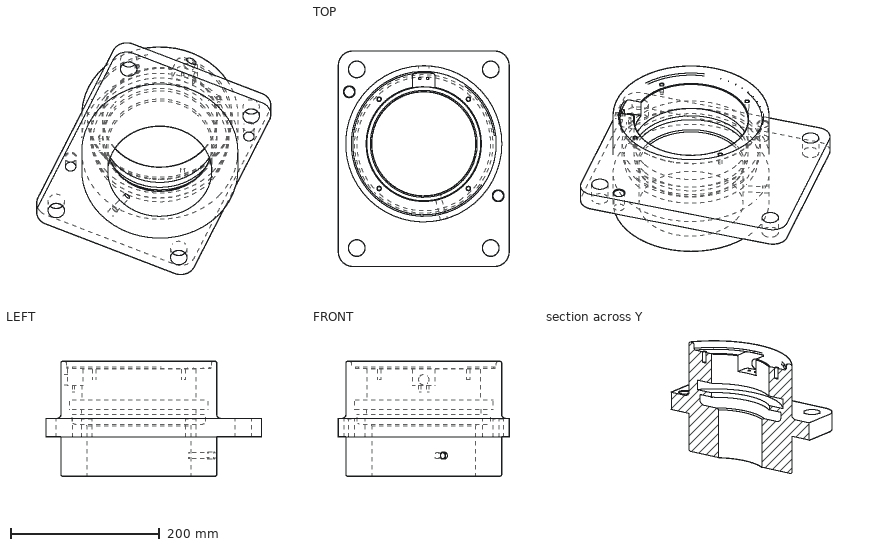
import cadquery as cq
import math

PLATE_LENGTH = 290.0
PLATE_WIDTH = 230.0
PLATE_THICKNESS = 25.0
PLATE_CORNER_RADIUS = 20.0
PLATE_OFFSET_Y = -20.0

BARREL_HEIGHT = 155.0
BARREL_RADIUS = 105.0
BARREL_EDGE_FILLET = 3.0
PLATE_BOTTOM_Z = 53.0
PLATE_TOP_Z = PLATE_BOTTOM_Z + PLATE_THICKNESS
ROOT_FILLET = 5.0

RECESS_RADIUS = 97.5
RECESS_DEPTH = 10.0
RECESS_MOUTH_FILLET = 3.0
RECESS_FILLET = 2.0
RECESS_FLOOR_Z = BARREL_HEIGHT - RECESS_DEPTH

UPPER_BORE_RADIUS = 76.5
UPPER_BORE_LENGTH = 42.3
UPPER_BORE_CHAMFER = 1.0
GROOVE_RADIUS = 93.0
GROOVE_HEIGHT = 12.8
COLLAR_RADIUS = 76.8
COLLAR_HEIGHT = 6.7
CHAMBER_RADIUS = 90.0
CHAMBER_HEIGHT = 13.3
CHAMBER_FILLET = 5.0
LOWER_BORE_RADIUS = 70.0
LOWER_BORE_CHAMFER = 2.0
UPPER_BORE_END_Z = RECESS_FLOOR_Z - UPPER_BORE_LENGTH
COLLAR_TOP_Z = UPPER_BORE_END_Z - GROOVE_HEIGHT
COLLAR_BOTTOM_Z = COLLAR_TOP_Z - COLLAR_HEIGHT
CHAMBER_FLOOR_Z = COLLAR_BOTTOM_Z - CHAMBER_HEIGHT

BOLT_SPACING_X = 180.0
BOLT_SPACING_Y = 240.0
BOLT_DIAMETER = 22.0
DOWEL_X = 100.0
DOWEL_Y = 70.0
DOWEL_DIAMETER = 14.0
DOWEL_CHAMFER = 1.0

SCREW_SPACING = 120.0
SCREW_DIAMETER = 5.0
SCREW_CHAMFER = 0.5
SCREW_DEPTH = 15.0

POCKET_WIDTH = 30.2
POCKET_OUTER_Y = 95.7
POCKET_DEPTH = 23.2
POCKET_CORNER_RADIUS = 5.0
POCKET_FLOOR_Z = RECESS_FLOOR_Z - POCKET_DEPTH
PIN_SPACING = 10.5
PIN_Y = 88.0
PIN_DIAMETER = 3.2
PIN_DEPTH = 8.0
CABLE_HOLE_DIAMETER = 14.0
CABLE_HOLE_Z = 130.0

PORT_ANGLE = 15.0
PORT_Z = 27.8
PORT_DIAMETER = 8.0
PORT_COUNTERBORE_DIAMETER = 9.5
PORT_COUNTERBORE_DEPTH = 8.7


def cylinder(radius, bottom_z, height):
    return cq.Workplane("XY").workplane(offset=bottom_z).circle(radius).extrude(height)


def make_plate():
    plate = (
        cq.Workplane("XY")
        .workplane(offset=PLATE_BOTTOM_Z)
        .center(0, PLATE_OFFSET_Y)
        .rect(PLATE_WIDTH, PLATE_LENGTH)
        .extrude(PLATE_THICKNESS)
    )
    return plate.edges("|Z").fillet(PLATE_CORNER_RADIUS)


def make_barrel():
    """Barrel with the recess already sunk into its rounded upper rim."""
    barrel = cylinder(BARREL_RADIUS, 0, BARREL_HEIGHT)
    barrel = barrel.faces("<Z or >Z").edges().fillet(BARREL_EDGE_FILLET)
    recess = cylinder(RECESS_RADIUS, RECESS_FLOOR_Z, RECESS_DEPTH)
    recess = recess.faces("<Z").edges().fillet(RECESS_FILLET)
    barrel = barrel.cut(recess)
    return barrel.faces(">Z").edges(cq.selectors.RadiusNthSelector(0)).fillet(RECESS_MOUTH_FILLET)


def make_root_fillet():
    """Concave ring between the top of the plate and the barrel wall."""
    foot_radius = BARREL_RADIUS + ROOT_FILLET
    sag = ROOT_FILLET * (1 - math.sqrt(0.5))
    return (
        cq.Workplane("XZ")
        .moveTo(UPPER_BORE_RADIUS, PLATE_TOP_Z)
        .lineTo(foot_radius, PLATE_TOP_Z)
        .threePointArc(
            (BARREL_RADIUS + sag, PLATE_TOP_Z + sag),
            (BARREL_RADIUS, PLATE_TOP_Z + ROOT_FILLET),
        )
        .lineTo(UPPER_BORE_RADIUS, PLATE_TOP_Z + ROOT_FILLET)
        .close()
        .revolve(360, (0, 0), (0, 1))
    )


def cone(lower_radius, upper_radius, bottom_z):
    """45 degree frustum for a countersink around the Z axis."""
    height = abs(upper_radius - lower_radius)
    return cq.Workplane(
        cq.Solid.makeCone(lower_radius, upper_radius, height, cq.Vector(0, 0, bottom_z))
    )


def make_bore():
    upper_bore = cylinder(UPPER_BORE_RADIUS, UPPER_BORE_END_Z, UPPER_BORE_LENGTH)
    upper_mouth = cone(
        UPPER_BORE_RADIUS, UPPER_BORE_RADIUS + UPPER_BORE_CHAMFER, RECESS_FLOOR_Z - UPPER_BORE_CHAMFER
    )
    groove = cylinder(GROOVE_RADIUS, COLLAR_TOP_Z, GROOVE_HEIGHT)
    collar = cylinder(COLLAR_RADIUS, COLLAR_BOTTOM_Z, COLLAR_HEIGHT)
    chamber = cylinder(CHAMBER_RADIUS, CHAMBER_FLOOR_Z, CHAMBER_HEIGHT)
    chamber = chamber.faces("<Z").edges().fillet(CHAMBER_FILLET)
    lower_bore = cylinder(LOWER_BORE_RADIUS, 0, CHAMBER_FLOOR_Z)
    lower_mouth = cone(
        LOWER_BORE_RADIUS, LOWER_BORE_RADIUS + LOWER_BORE_CHAMFER, CHAMBER_FLOOR_Z - LOWER_BORE_CHAMFER
    )
    bore = upper_bore
    for step in (upper_mouth, groove, collar, chamber, lower_bore, lower_mouth):
        bore = bore.union(step)
    return bore


def countersunk_hole(diameter, depth, chamfer, top_z):
    """Cutter on the Z axis whose mouth is at top_z."""
    radius = diameter / 2
    drill = cylinder(radius, top_z - depth, depth)
    return drill.union(cone(radius, radius + chamfer, top_z - chamfer))


def cut_plate_holes(body):
    bolts = (
        cq.Workplane("XY")
        .workplane(offset=PLATE_BOTTOM_Z)
        .center(0, PLATE_OFFSET_Y)
        .rect(BOLT_SPACING_X, BOLT_SPACING_Y, forConstruction=True)
        .vertices()
        .circle(BOLT_DIAMETER / 2)
        .extrude(PLATE_THICKNESS)
    )
    body = body.cut(bolts)
    dowel = countersunk_hole(DOWEL_DIAMETER, PLATE_THICKNESS, DOWEL_CHAMFER, PLATE_TOP_Z)
    for side in (-1, 1):
        body = body.cut(dowel.translate((side * DOWEL_X, -side * DOWEL_Y, 0)))
    return body


def cut_screw_holes(body):
    screw = countersunk_hole(SCREW_DIAMETER, SCREW_DEPTH, SCREW_CHAMFER, RECESS_FLOOR_Z)
    for side_x in (-1, 1):
        for side_y in (-1, 1):
            body = body.cut(screw.translate((side_x * SCREW_SPACING / 2, side_y * SCREW_SPACING / 2, 0)))
    return body


def cut_connector_pocket(body):
    pocket = (
        cq.Workplane("XY")
        .workplane(offset=POCKET_FLOOR_Z)
        .center(0, POCKET_OUTER_Y / 2)
        .rect(POCKET_WIDTH, POCKET_OUTER_Y)
        .extrude(POCKET_DEPTH)
        .edges("|Z and >Y")
        .fillet(POCKET_CORNER_RADIUS)
    )
    pin = cylinder(PIN_DIAMETER / 2, POCKET_FLOOR_Z - PIN_DEPTH, PIN_DEPTH)
    for side in (-1, 1):
        pocket = pocket.union(pin.translate((side * PIN_SPACING / 2, PIN_Y, 0)))
    cable_hole = (
        cq.Workplane("XZ")
        .center(0, CABLE_HOLE_Z)
        .circle(CABLE_HOLE_DIAMETER / 2)
        .extrude(-BARREL_RADIUS)
    )
    return body.cut(pocket).cut(cable_hole)


def cut_port(body):
    """Radial hole into the lower bore, PORT_ANGLE away from -Y towards +X."""
    port = cylinder(PORT_DIAMETER / 2, 0, BARREL_RADIUS)
    counterbore_floor = BARREL_RADIUS - PORT_COUNTERBORE_DEPTH
    port = port.union(cylinder(PORT_COUNTERBORE_DIAMETER / 2, counterbore_floor, PORT_COUNTERBORE_DEPTH))
    port = port.rotate((0, 0, 0), (1, 0, 0), 90).rotate((0, 0, 0), (0, 0, 1), PORT_ANGLE)
    return body.cut(port.translate((0, 0, PORT_Z)))


housing = make_plate().union(make_barrel()).union(make_root_fillet())
housing = housing.cut(make_bore())
housing = cut_plate_holes(housing)
housing = cut_screw_holes(housing)
housing = cut_connector_pocket(housing)
result = cut_port(housing)